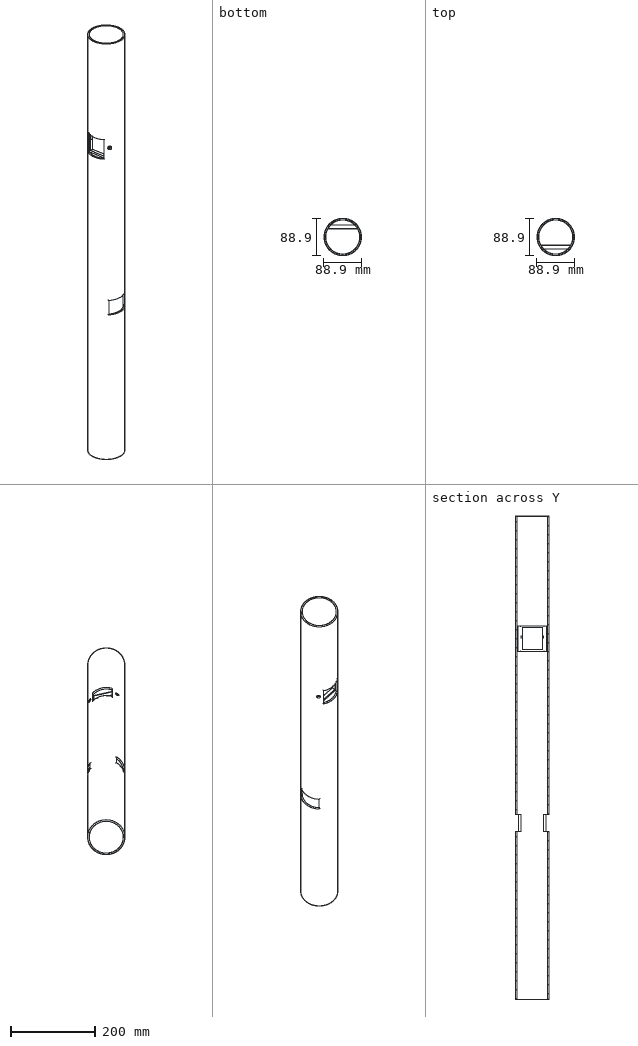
import cadquery as cq
import math

tube_length = 1150
tube_diameter = 88.9
bore_diameter = 80.9
outer_radius = tube_diameter / 2
bore_radius = bore_diameter / 2

slot_width = 60
slot_height = 40
slot_bottom_z = 400

window_width = 48
window_height = 54
window_center_x = -0.5
window_center_z = 858
window_top_z = window_center_z + window_height / 2

screw_angle = 49.7
screw_center_z = 862
clearance_diameter = 5
countersink_diameter = 10
countersink_depth = (countersink_diameter - clearance_diameter) / 2
thread_hole_diameter = 4.4
thread_hole_end_radius = 34

insert_back_y = -19.5
insert_front_y = -29
insert_depth = insert_back_y - insert_front_y
insert_width = 68
insert_height = 60
pocket_floor = 2
pocket_depth = insert_depth - pocket_floor
pocket_height = 52
pocket_center_z = window_top_z - pocket_height / 2


def block(size_x, size_y, size_z, center):
    return cq.Workplane().box(size_x, size_y, size_z).translate(center)


def screw_directions():
    """Outward unit vectors of the two screw axes."""
    angle = math.radians(screw_angle)
    return [cq.Vector(side * math.sin(angle), -math.cos(angle), 0) for side in (-1, 1)]


def point_on_screw_axis(direction, radius):
    return direction * radius + cq.Vector(0, 0, screw_center_z)


def radial_hole(direction, diameter, inner_radius):
    """Cylinder from the inner radius out past the tube."""
    start = point_on_screw_axis(direction, inner_radius)
    return cq.Solid.makeCylinder(diameter / 2, outer_radius, start, direction)


def countersink(direction):
    """Cone that has the countersink diameter at the tube surface and runs on past it."""
    start = point_on_screw_axis(direction, outer_radius - countersink_depth)
    cone_length = 2 * countersink_depth
    small_radius = clearance_diameter / 2
    return cq.Solid.makeCone(small_radius, small_radius + cone_length, cone_length, start, direction)


def make_tube():
    tube = cq.Workplane().circle(outer_radius).circle(bore_radius).extrude(tube_length)
    slot_center_z = slot_bottom_z + slot_height / 2
    tube = tube.cut(block(2 * tube_diameter, slot_width, slot_height, (0, 0, slot_center_z)))
    window_center = (window_center_x, -outer_radius, window_center_z)
    tube = tube.cut(block(window_width, outer_radius, window_height, window_center))
    for direction in screw_directions():
        clearance_hole = radial_hole(direction, clearance_diameter, thread_hole_end_radius)
        tube = tube.cut(cq.Workplane(clearance_hole))
        tube = tube.cut(cq.Workplane(countersink(direction)))
    return tube


def make_insert():
    insert_bottom_z = window_center_z - insert_height / 2
    insert = cq.Workplane(origin=(0, 0, insert_bottom_z)).circle(bore_radius).extrude(insert_height)
    envelope_center = (0, (insert_back_y + insert_front_y) / 2, window_center_z)
    insert = insert.intersect(block(insert_width, insert_depth, insert_height, envelope_center))
    pocket_center = (window_center_x, insert_front_y, pocket_center_z)
    insert = insert.cut(block(window_width, 2 * pocket_depth, pocket_height, pocket_center))
    for direction in screw_directions():
        thread_hole = radial_hole(direction, thread_hole_diameter, thread_hole_end_radius)
        insert = insert.cut(cq.Workplane(thread_hole))
    return insert


tube = make_tube()
insert = make_insert()
result = cq.Compound.makeCompound([tube.solids().val(), insert.solids().val()])